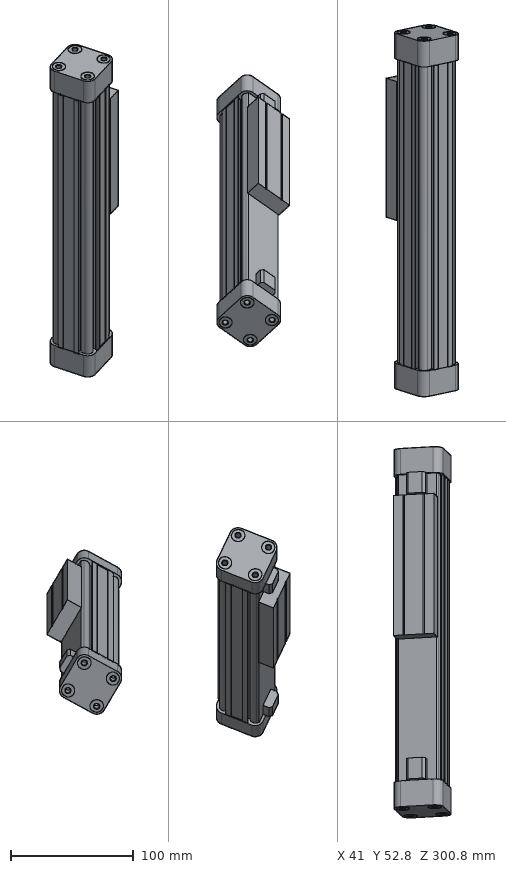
import cadquery as cq
import math

total_length = 300.8
cap_height = 21.7
pad_height = 0.3
tube_length = total_length - 2 * (cap_height + pad_height)

cap_width = 41.0
screw_offset = 13.5
cap_corner_radius = cap_width / 2 - screw_offset

pad_diameter = 11.0
pad_edge_margin = 1.8
pad_inner_edge = cap_width / 2 - pad_edge_margin
pad_corner_radius = cap_corner_radius - pad_edge_margin

mouth_diameter = 5.0
bore_diameter = 4.2
bore_depth = 9.0
bore_tip_angle = 118.0
mouth_depth = (mouth_diameter - bore_diameter) / 2

corner_radius = 4.5
tube_top = screw_offset + corner_radius
flank_angle = 34.0
groove_floor = 16.0
side_rail_reach = 20.2
side_rail_half_width = 10.0
back_rail_reach = 21.5
back_rail_half_width = 9.5
flank_height = 2.5
rail_slot_width = 10.0
rail_slot_depth = 0.5

clamp_length = 17.5
clamp_width = 16.0
clamp_top = 25.5
clamp_chamfer = 2.0

carriage_width = 34.0
carriage_length = 117.3
carriage_top = 31.3
carriage_gap = 2.7
carriage_groove_offset = 8.5
carriage_groove_width = 1.2
carriage_groove_depth = 0.45

screw_points = [(sx * screw_offset, sy * screw_offset) for sx in (-1, 1) for sy in (-1, 1)]
flank_slope = math.tan(math.radians(flank_angle))


def rounded_square(width, radius, height):
    """Square plate standing on Z = 0 with rounded vertical edges."""
    return cq.Workplane("XY").rect(width, width).extrude(height).edges("|Z").fillet(radius)


def make_screw_hole():
    """Cutter for one screw hole, with its mouth at the top of the pads."""
    mouth_z = cap_height + pad_height
    chamfer_z = mouth_z - mouth_depth
    bore_end_z = mouth_z - bore_depth
    bore_radius = bore_diameter / 2
    tip_z = bore_end_z - bore_radius / math.tan(math.radians(bore_tip_angle / 2))
    return (
        cq.Workplane("XZ")
        .moveTo(0, mouth_z)
        .lineTo(mouth_diameter / 2, mouth_z)
        .lineTo(bore_radius, chamfer_z)
        .lineTo(bore_radius, bore_end_z)
        .lineTo(0, tip_z)
        .close()
        .revolve(360, (0, 0, 0), (0, 1, 0))
    )


def make_end_cap():
    """End cap with its inner face on Z = 0 and its screw pads facing +Z."""
    cap = rounded_square(cap_width, cap_corner_radius, cap_height)
    pad_limit = rounded_square(2 * pad_inner_edge, pad_corner_radius, cap_height + pad_height)
    pads = (
        cq.Workplane("XY")
        .pushPoints(screw_points)
        .circle(pad_diameter / 2)
        .extrude(cap_height + pad_height)
        .intersect(pad_limit)
    )
    cap = cap.union(pads)
    screw_hole = make_screw_hole()
    for x, y in screw_points:
        cap = cap.cut(screw_hole.translate((x, y, 0)))
    return cap


def tube_prism(sketch):
    """Extrude an XY outline over the tube length, centred on Z = 0."""
    return sketch.extrude(tube_length / 2, both=True)


def make_dovetail_rail(reach, half_width):
    """Rail on the -Y side, with a straight neck, dovetail flanks and a shallow slot in its outer face."""
    neck_half_width = half_width - flank_height * flank_slope
    neck_reach = reach - flank_height
    outline = cq.Workplane("XY").polyline([
        (-half_width, -reach),
        (half_width, -reach),
        (neck_half_width, -neck_reach),
        (neck_half_width, -groove_floor),
        (-neck_half_width, -groove_floor),
        (-neck_half_width, -neck_reach),
    ]).close()
    slot = cq.Workplane("XY").center(0, -reach).rect(rail_slot_width, 2 * rail_slot_depth)
    return tube_prism(outline).cut(tube_prism(slot))


def make_shoulder():
    """Flat-topped part of the tube, with flanks running tangent into the upper corners."""
    tangent_x = screw_offset + corner_radius * math.cos(math.radians(flank_angle))
    tangent_y = screw_offset + corner_radius * math.sin(math.radians(flank_angle))
    top_x = tangent_x - (tube_top - tangent_y) * flank_slope
    outline = cq.Workplane("XY").polyline([
        (-screw_offset, screw_offset),
        (-tangent_x, tangent_y),
        (-top_x, tube_top),
        (top_x, tube_top),
        (tangent_x, tangent_y),
        (screw_offset, screw_offset),
    ]).close()
    return tube_prism(outline)


def make_back_lands():
    """Flat lands on the -Y side, tangent to the lower corners and reaching towards the rail."""
    land_length = screw_offset - back_rail_half_width
    land_x = (screw_offset + back_rail_half_width) / 2
    land_y = -screw_offset - corner_radius / 2
    outline = cq.Workplane("XY").pushPoints([(-land_x, land_y), (land_x, land_y)])
    return tube_prism(outline.rect(land_length, corner_radius))


def make_tube_profile():
    """Extruded profile: core, round corners, top shoulder, lower lands and dovetail rails."""
    core = tube_prism(cq.Workplane("XY").rect(2 * groove_floor, 2 * groove_floor))
    corners = tube_prism(cq.Workplane("XY").pushPoints(screw_points).circle(corner_radius))
    tube = core.union(corners).union(make_shoulder()).union(make_back_lands())
    tube = tube.union(make_dovetail_rail(back_rail_reach, back_rail_half_width))
    side_rail = make_dovetail_rail(side_rail_reach, side_rail_half_width)
    for turn in (-90, 90):
        tube = tube.union(side_rail.rotate((0, 0, 0), (0, 0, 1), turn))
    return tube


def make_clamp():
    """Band clamp on top of the tube, centred on Z = 0, chamfered along both upper edges."""
    clamp_height = clamp_top - tube_top
    return (
        cq.Workplane("XY")
        .box(clamp_width, clamp_height, clamp_length)
        .faces(">Y")
        .edges("|Z")
        .chamfer(clamp_chamfer)
        .translate((0, tube_top + clamp_height / 2, 0))
    )


def make_carriage():
    """Carriage block on top of the tube, centred on Z = 0, with two fine grooves in its top."""
    carriage_height = carriage_top - tube_top
    block = cq.Workplane("XY").box(carriage_width, carriage_height, carriage_length)
    block = block.translate((0, tube_top + carriage_height / 2, 0))
    groove = cq.Workplane("XY").box(carriage_groove_width, 2 * carriage_groove_depth, carriage_length)
    for side in (-1, 1):
        block = block.cut(groove.translate((side * carriage_groove_offset, carriage_top, 0)))
    return block


def make_tube():
    """Tube profile carrying the two band clamps and the carriage."""
    clamp_z = (tube_length - clamp_length) / 2
    carriage_z = tube_length / 2 - clamp_length - carriage_gap - carriage_length / 2
    tube = make_tube_profile()
    for side in (-1, 1):
        tube = tube.union(make_clamp().translate((0, 0, side * clamp_z)))
    return tube.union(make_carriage().translate((0, 0, carriage_z)))


tube = make_tube()

end_caps = []
for turn in (0, 180):
    end_cap = make_end_cap().translate((0, 0, tube_length / 2)).rotate((0, 0, 0), (1, 0, 0), turn)
    end_caps.append(end_cap.val())

result = cq.Compound.makeCompound([tube.val(), *end_caps])